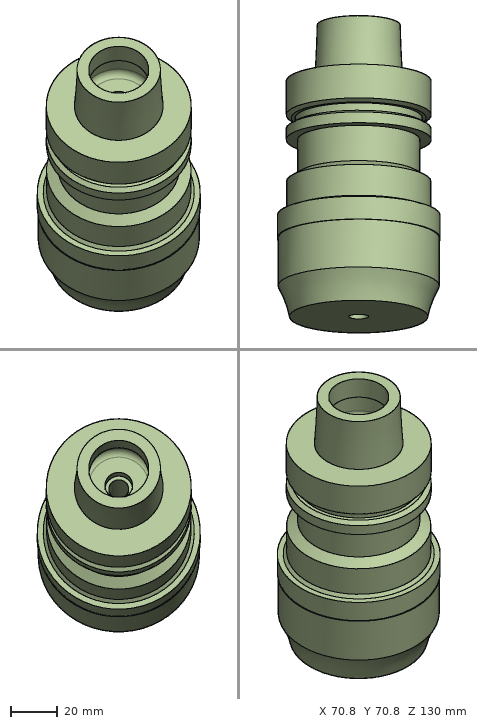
import cadquery as cq
import math


total_height = 130.0
nut_taper_top = 13.6
nut_collar_bottom = 35.0
nut_collar_top = 45.1
sleeve_top = 60.3
neck_bottom = 63.2
flange_bottom = 78.9
flange_top = 105.0

nut_nose_radius = 30.0
nut_taper_mid_radius = 31.8
nut_radius = 35.0
collar_radius = 35.4
sleeve_radius = 31.3
neck_radius = 26.5
flange_radius = 31.5
shank_base_radius = 19.2
shank_mid_radius = 18.5
shank_tip_radius = 18.1

rim_width = 1.4

groove_lower_edge = 83.7
groove_upper_edge = 90.0
groove_floor_radius = 27.5
groove_side_inner_radius = 29.2
groove_side_angle = math.radians(30)
groove_side_height = (flange_radius - groove_side_inner_radius) * math.tan(groove_side_angle)

mouth_radius = 13.0
mouth_depth = 9.9
undercut_radius = 16.0
cavity_depth = 22.5
cavity_corner_radius = 3.0
counterbore_radius = 6.0
counterbore_depth = 5.0
through_hole_radius = 4.3


def outer_body():
    """Revolve the stepped outer outline, drawn from the bottom face upwards."""
    outline = (
        cq.Workplane("XZ")
        .lineTo(nut_nose_radius, 0)
        .threePointArc((nut_taper_mid_radius, nut_taper_top / 2), (nut_radius, nut_taper_top))
        .lineTo(nut_radius, nut_collar_bottom)
        .lineTo(collar_radius, nut_collar_bottom)
        .lineTo(collar_radius, nut_collar_top)
        .lineTo(sleeve_radius + rim_width, nut_collar_top)
        .lineTo(sleeve_radius, nut_collar_top + rim_width)
        .lineTo(sleeve_radius, sleeve_top)
        .lineTo(neck_radius, neck_bottom)
        .lineTo(neck_radius, flange_bottom)
        .lineTo(flange_radius, flange_bottom)
        .lineTo(flange_radius, groove_lower_edge)
        .lineTo(groove_side_inner_radius, groove_lower_edge + groove_side_height)
        .lineTo(groove_floor_radius, groove_lower_edge + groove_side_height)
        .lineTo(groove_floor_radius, groove_upper_edge - groove_side_height)
        .lineTo(groove_side_inner_radius, groove_upper_edge - groove_side_height)
        .lineTo(flange_radius, groove_upper_edge)
        .lineTo(flange_radius, flange_top)
        .lineTo(shank_base_radius, flange_top)
        .threePointArc(
            (shank_mid_radius, (flange_top + total_height) / 2),
            (shank_tip_radius, total_height),
        )
        .lineTo(0, total_height)
        .close()
    )
    return outline.revolve(360, (0, 0, 0), (0, 1, 0))


def bore_cylinder(radius, top_depth, bottom_depth):
    """Upright cylinder on the axis between two depths below the shank tip."""
    return (
        cq.Workplane("XY")
        .workplane(offset=total_height - bottom_depth)
        .circle(radius)
        .extrude(bottom_depth - top_depth)
    )


def stepped_bore():
    """Shank mouth, undercut cavity, counterbore and through hole as one cutting tool."""
    mouth = bore_cylinder(mouth_radius, 0, mouth_depth)
    cavity = bore_cylinder(undercut_radius, mouth_depth, cavity_depth)
    cavity = cavity.faces("<Z").edges().fillet(cavity_corner_radius)
    counterbore = bore_cylinder(counterbore_radius, cavity_depth, cavity_depth + counterbore_depth)
    through_hole = bore_cylinder(through_hole_radius, 0, total_height)
    return mouth.union(cavity).union(counterbore).union(through_hole)


result = outer_body().cut(stepped_bore())